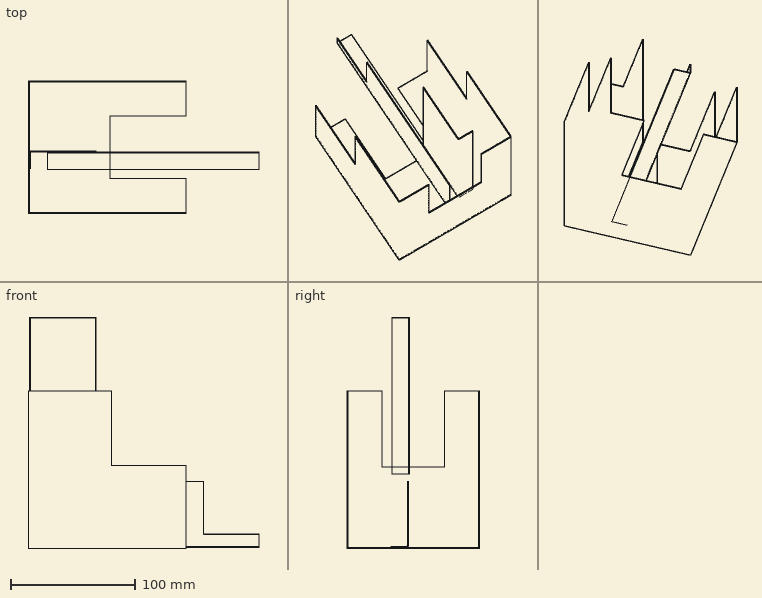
import cadquery as cq

sheet = 0.8
inner_radius = 0.65

housing_length = 127.0
housing_width = 107.0
housing_edge_radius = 1.0
step_size = 67.1
slot_width = 50.0
slot_start = 65.8

reach = 186.0
flange_depth = 14.0
angle_bend_radius = inner_radius + sheet
web_width = 53.5
web_joint = 49.5

post_bottom = 60.0
post_left = sheet

rail_left = 15.6
rail_bottom = sheet
rail_web_top = 54.3
rail_web_right = 141.2
rail_tail_top = 11.7

bent_edges = "(<X and <Y) or (<X and >Y) or (<X and <Z) or (<Y and <Z) or (>Y and <Z)"


def box(x_range, y_range, z_range):
    """Box between the given lower and upper limits on each axis."""
    lower = (x_range[0], y_range[0], z_range[0])
    size = [high - low for low, high in (x_range, y_range, z_range)]
    return cq.Workplane("XY").box(*size, centered=False).translate(lower)


def make_housing():
    outside = (
        box((0, housing_length), (0, housing_width), (0, housing_length))
        .edges(bent_edges)
        .fillet(housing_edge_radius)
    )
    inside = (
        box((sheet, housing_length + sheet), (sheet, housing_width - sheet), (sheet, housing_length + sheet))
        .edges(bent_edges)
        .fillet(inner_radius)
    )
    step_cut = box((step_size, housing_length), (0, housing_width), (step_size, housing_length))
    slot_y = ((housing_width - slot_width) / 2, (housing_width + slot_width) / 2)
    floor_slot = box((slot_start, housing_length), slot_y, (0, sheet))
    wall_slot = box((0, sheet), slot_y, (slot_start, housing_length))
    return outside.cut(inside).cut(step_cut).cut(floor_slot).cut(wall_slot)


def make_post():
    """Upright angle: its web lies behind the joint plane, its flange along the left wall."""
    back = web_joint + sheet
    front = back - flange_depth
    x_range = (post_left, post_left + web_width)
    z_range = (post_bottom, reach)
    outside = box(x_range, (front, back), z_range).edges("<X and >Y").fillet(angle_bend_radius)
    inside = (
        box((post_left + sheet, reach), (front - sheet, web_joint), z_range)
        .edges("<X and >Y")
        .fillet(inner_radius)
    )
    return outside.cut(inside)


def make_rail():
    """Lying angle: its stepped web lies before the joint plane, its flange on the floor."""
    front = web_joint - flange_depth
    x_range = (rail_left, reach)
    y_range = (front, web_joint)
    outside = box(x_range, y_range, (rail_bottom, rail_web_top)).edges(">Y and <Z").fillet(angle_bend_radius)
    inside = (
        box(x_range, (front - sheet, web_joint - sheet), (rail_bottom + sheet, reach))
        .edges(">Y and <Z")
        .fillet(inner_radius)
    )
    tail_cut = box((rail_web_right, reach), y_range, (rail_tail_top, rail_web_top))
    return outside.cut(inside).cut(tail_cut)


housing = make_housing()
post = make_post()
rail = make_rail()
result = cq.Compound.makeCompound([housing.val(), post.val(), rail.val()])